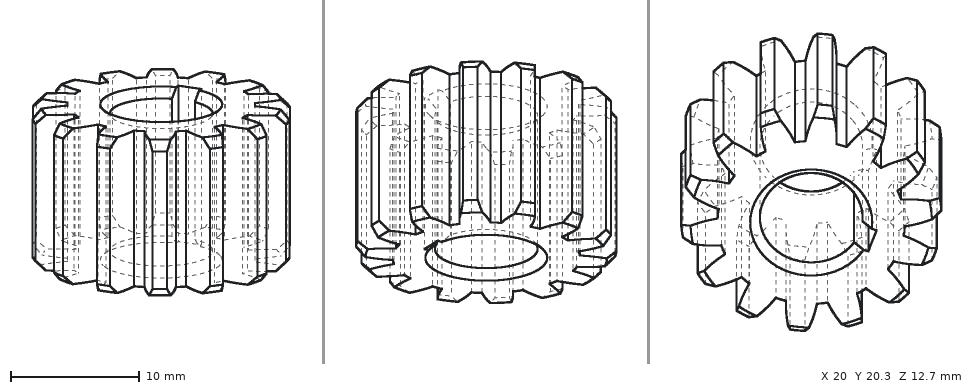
import cadquery as cq
import math

tooth_count = 14
outer_diameter = 20.32
face_width = 12.7
module = outer_diameter / (tooth_count + 2)
outer_radius = outer_diameter / 2
pitch_radius = module * tooth_count / 2
dedendum = 1.25 * module
root_radius = pitch_radius - dedendum

tip_half_width = 0.57
pitch_half_width = 0.98
root_half_width = 1.22

bore_diameter = 8.0
chamfer = 0.75
keyway_width = 2.0
keyway_top = 5.04


def flank_point(radius, half_width, side, turn):
    """Point on a tooth flank; side is -1 or +1, turn is the tooth's clockwise angle from +Y."""
    angle = turn + side * math.asin(half_width / radius)
    return (radius * math.sin(angle), radius * math.cos(angle))


def make_gear_blank():
    pitch_angle = 2 * math.pi / tooth_count
    start = flank_point(root_radius, root_half_width, -1, 0)
    outline = cq.Workplane("XY").moveTo(*start)
    for tooth in range(tooth_count):
        turn = tooth * pitch_angle
        gap_middle = turn + pitch_angle / 2
        outline = outline.threePointArc(
            flank_point(pitch_radius, pitch_half_width, -1, turn),
            flank_point(outer_radius, tip_half_width, -1, turn),
        )
        outline = outline.threePointArc(
            flank_point(outer_radius, 0, 1, turn),
            flank_point(outer_radius, tip_half_width, 1, turn),
        )
        outline = outline.threePointArc(
            flank_point(pitch_radius, pitch_half_width, 1, turn),
            flank_point(root_radius, root_half_width, 1, turn),
        )
        if tooth < tooth_count - 1:
            next_root = flank_point(root_radius, root_half_width, -1, turn + pitch_angle)
        else:
            next_root = start
        outline = outline.threePointArc(flank_point(root_radius, 0, 1, gap_middle), next_root)
    return outline.close().extrude(face_width)


def make_chamfered_cylinder():
    """Envelope that trims the tooth tips conically at both ends."""
    return cq.Workplane("XY").circle(outer_radius).extrude(face_width).edges().chamfer(chamfer)


def make_bore():
    """Through bore, widened conically at both ends."""
    bore_radius = bore_diameter / 2
    mouth_radius = bore_radius + chamfer
    return (
        cq.Workplane("XZ")
        .moveTo(0, 0)
        .lineTo(mouth_radius, 0)
        .lineTo(bore_radius, chamfer)
        .lineTo(bore_radius, face_width - chamfer)
        .lineTo(mouth_radius, face_width)
        .lineTo(0, face_width)
        .close()
        .revolve(360, (0, 0, 0), (0, 1, 0))
    )


def make_keyway():
    """Through slot from the axis out to the keyway floor on the +Y side."""
    return cq.Workplane("XY").box(
        keyway_width, keyway_top, face_width, centered=(True, False, False)
    )


gear = make_gear_blank().intersect(make_chamfered_cylinder())
result = gear.cut(make_bore()).cut(make_keyway())